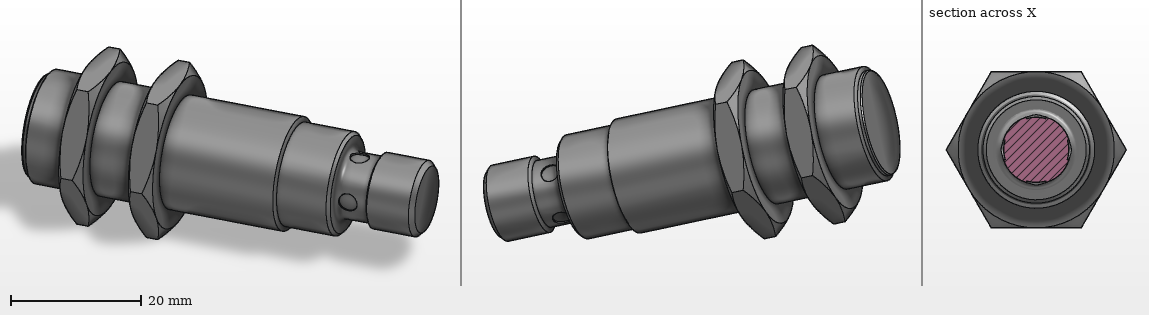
import cadquery as cq
import math

total_length = 63.5

face_radius = 16.2 / 2
cap_radius = 16.5 / 2
cap_chamfer_length = 0.25
cap_length = 0.7

barrel_radius = 18.0 / 2
barrel_end = 41.6
barrel_chamfer_length = 0.3
sleeve_radius = 16.4 / 2
sleeve_end = 50.55
sleeve_chamfer = 0.5

neck_radius = 10.55 / 2
neck_end = 55.5
neck_fillet = 0.95
plug_radius = 12.0 / 2
plug_lead_in_length = 0.4
plug_chamfer = 0.75

window_radius = 3.0 / 2
window_x = 52.5
window_depth = 0.25
window_count = 4

nut_across_flats = 24.0
nut_across_corners = nut_across_flats / math.cos(math.radians(30))
nut_thickness = 4.0
nut_chamfer_angle = math.radians(30)
nut_starts = (7.55, 19.0)


def make_body():
    """Turned body: a half profile of (x, radius) points revolved about X."""
    barrel_start = cap_length + barrel_chamfer_length
    sleeve_start = barrel_end + barrel_chamfer_length
    plug_start = neck_end + plug_lead_in_length
    fillet_top = neck_radius + neck_fillet
    fillet_end = sleeve_end + neck_fillet
    fillet_offset = neck_fillet * (1 - math.sqrt(0.5))
    fillet_middle = (sleeve_end + fillet_offset, neck_radius + fillet_offset)

    profile = (
        cq.Workplane("XY")
        .lineTo(0, face_radius)
        .lineTo(cap_chamfer_length, cap_radius)
        .lineTo(cap_length, cap_radius)
        .lineTo(barrel_start, barrel_radius)
        .lineTo(barrel_end, barrel_radius)
        .lineTo(sleeve_start, sleeve_radius)
        .lineTo(sleeve_end - sleeve_chamfer, sleeve_radius)
        .lineTo(sleeve_end, sleeve_radius - sleeve_chamfer)
        .lineTo(sleeve_end, fillet_top)
        .threePointArc(fillet_middle, (fillet_end, neck_radius))
        .lineTo(neck_end, neck_radius)
        .lineTo(plug_start, plug_radius)
        .lineTo(total_length - plug_chamfer, plug_radius)
        .lineTo(total_length, plug_radius - plug_chamfer)
        .lineTo(total_length, 0)
        .close()
    )
    return profile.revolve(360, (0, 0, 0), (1, 0, 0))


def make_nut(start):
    """Hexagon nut with corners on +Y and -Y, both faces chamfered down to the flats."""
    face_circle = nut_across_flats / 2
    corner_circle = nut_across_corners / 2
    chamfer_length = (corner_circle - face_circle) * math.tan(nut_chamfer_angle)
    end = start + nut_thickness
    hexagon = (
        cq.Workplane("YZ", origin=(start, 0, 0))
        .polygon(6, nut_across_corners)
        .extrude(nut_thickness)
    )
    chamfer_envelope = (
        cq.Workplane("XY")
        .moveTo(start, 0)
        .lineTo(start, face_circle)
        .lineTo(start + chamfer_length, corner_circle)
        .lineTo(end - chamfer_length, corner_circle)
        .lineTo(end, face_circle)
        .lineTo(end, 0)
        .close()
        .revolve(360, (0, 0, 0), (1, 0, 0))
    )
    return hexagon.intersect(chamfer_envelope)


def make_window_cutters():
    """Radial cylinders whose inner ends follow a floor concentric with the neck."""
    cutters = cq.Workplane("XY")
    for index in range(window_count):
        cutter = cq.Workplane("XY", origin=(window_x, 0, 0)).circle(window_radius).extrude(sleeve_radius)
        cutters = cutters.add(cutter.rotate((0, 0, 0), (1, 0, 0), index * 360 / window_count))
    floor = (
        cq.Workplane("YZ", origin=(window_x - window_radius, 0, 0))
        .circle(neck_radius - window_depth)
        .extrude(2 * window_radius)
    )
    return cutters.combine().cut(floor)


result = make_body().cut(make_window_cutters())
for nut_start in nut_starts:
    result = result.union(make_nut(nut_start))